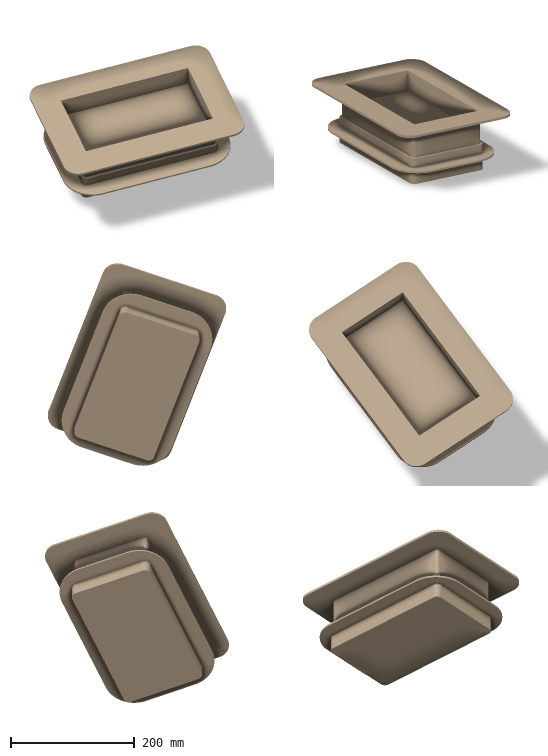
import cadquery as cq

length = 308.0
width = 210.0
height = 100.0

plate_thickness = 4.0
plate_corner_radius = 25.0

rim_width = 45.0
pocket_depth = 36.0
wall = 4.0
box_corner_radius = 5.0
pocket_width = width - 2 * rim_width
pocket_length = length - 2 * rim_width
box_width = pocket_width + 2 * wall
box_length = pocket_length + 2 * wall

sleeve_wall = 4.0
sleeve_height = 44.0
sleeve_width = box_width + 2 * sleeve_wall
sleeve_length = box_length + 2 * sleeve_wall
sleeve_corner_radius = box_corner_radius + sleeve_wall

flange_overhang = 25.0
flange_thickness = 3.0
flange_bottom = 25.5
flange_corner_radius = 50.0
flange_width = sleeve_width + 2 * flange_overhang
flange_length = sleeve_length + 2 * flange_overhang


def rounded_block(size_x, size_y, size_z, corner_radius, bottom):
    """Block centred on the Z axis with rounded vertical edges."""
    block = cq.Workplane("XY").workplane(offset=bottom).rect(size_x, size_y).extrude(size_z)
    return block.edges("|Z").fillet(corner_radius)


plate = rounded_block(width, length, plate_thickness, plate_corner_radius, height - plate_thickness)
box = rounded_block(box_width, box_length, height - plate_thickness, box_corner_radius, 0)
sleeve = rounded_block(sleeve_width, sleeve_length, sleeve_height, sleeve_corner_radius, 0)
flange = rounded_block(flange_width, flange_length, flange_thickness, flange_corner_radius, flange_bottom)

pocket_floor = height - pocket_depth
pocket = cq.Workplane("XY").workplane(offset=pocket_floor).rect(pocket_width, pocket_length).extrude(pocket_depth)

result = plate.union(box).union(sleeve).union(flange).cut(pocket)